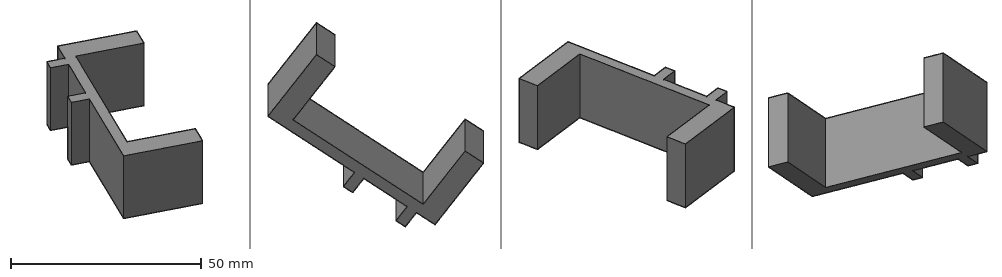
import cadquery as cq

length = 54.0
depth = 27.0
height = 20.0

arm_thickness = 6.0
web_thickness = 3.0

rib_thickness = 3.0
rib_projection = 5.0
rib_gap = 14.0
first_rib_x = arm_thickness
rib_positions = [first_rib_x, first_rib_x + rib_thickness + rib_gap]

channel_depth = depth - rib_projection


def corner_box(x, y, size_x, size_y):
    """Full-height block whose lowest corner is at (x, y, 0)."""
    return cq.Workplane("XY").box(size_x, size_y, height, centered=False).translate((x, y, 0))


channel = corner_box(0, 0, length, channel_depth)
opening = corner_box(
    arm_thickness,
    web_thickness,
    length - 2 * arm_thickness,
    channel_depth - web_thickness,
)
result = channel.cut(opening)

for rib_x in rib_positions:
    rib = corner_box(rib_x, -rib_projection, rib_thickness, rib_projection)
    result = result.union(rib)